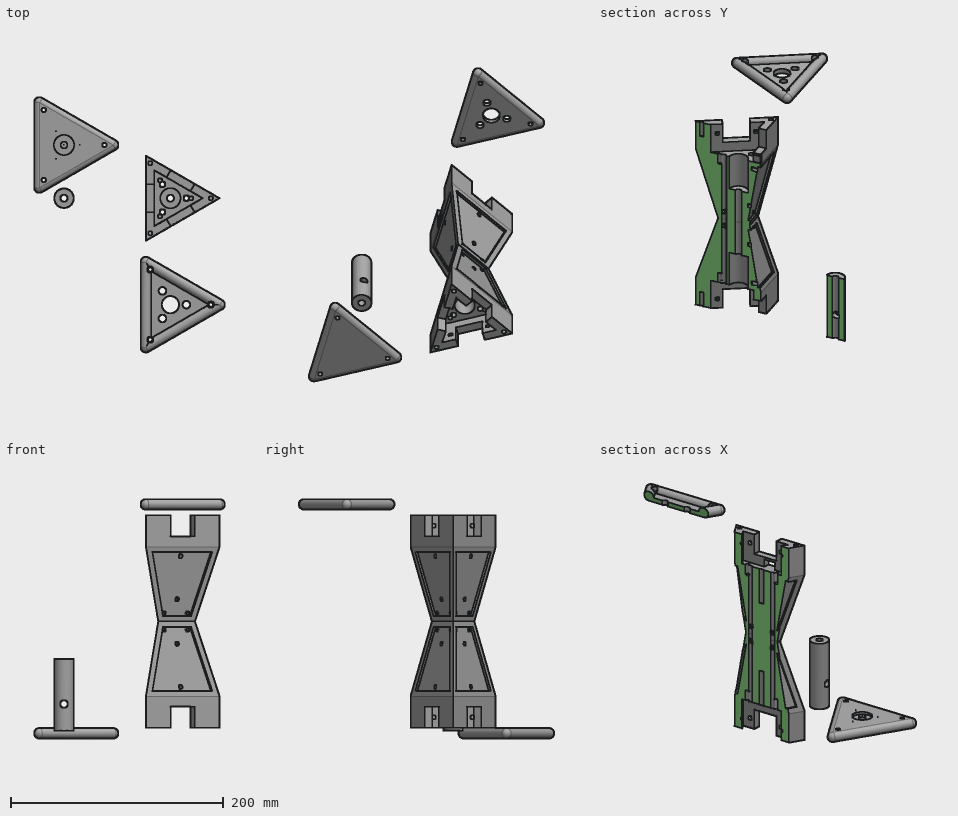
import cadquery as cq
import math

side = 80.04
side_radius = side / math.sqrt(3)
inradius = side_radius / 2
turns = (0, 120, 240)
half_corner = math.radians(30)
screw_radius = 38.0
screw_diameter = 4.0
channel_radius = 15.0
axial_bore = 6.4

tower_height = 200.0
straight_height = 30.0
waist_scale = 0.5
wall = 8.0
slot_width = 26.0
slot_depth = 20.0
screw_depth = 15.0
channel_diameter = 5.0
socket_diameter = 19.0

panel_end_margin = 5.0
panel_side_margin = 6.0
panel_depth = 2.3
panel_pin_diameter = 4.0
panel_pins = ((9.0, 6.0), (49.5, 3.0))
wire_hole_diameter = 3.0
wire_hole_drop = 62.5
wire_hole_depth = 6.0

pilot_diameter = 4.0
pilot_depth = 10.0
pilot_radius = 19.5
drill_point_angle = 118.0

wall_hole_diameter = 4.0
wall_hole_offset = 8.0
wall_hole_depth = 4.0

window_width = 12.4
window_height = 7.5
window_centre_y = 5.0
window_chamfer = 1.0

rod_diameter = 18.5
rod_length = 67.5
rod_cross_hole = 7.0
rod_cross_height = 25.0

rail_radius = 5.0
rail_diameter = 2 * rail_radius
cap_thickness = 5.0
cap_centre_hole = 16.0
cap_channel_hole = 7.0
cap_screw_head = 6.0
recess_depth = 2.5
peg_diameter = 6.4
pinhole_diameter = 0.002
pinhole_depth = 1.0

cap_gap = 5.0
cap_place = (0, -100, tower_height + cap_gap)
base_place = (-100, 50, -rail_diameter)
rod_place = (-100, 0, -recess_depth)

middle = tower_height / 2
shoulder = tower_height - straight_height
taper_height = shoulder - middle
taper_inset = inradius * (1 - waist_scale)
slant_height = math.hypot(taper_height, taper_inset)
slant_ratio = slant_height / taper_height
pocket_radius = side_radius - 2 * wall
socket_bottom = tower_height - (rod_length - recess_depth)


def triangle_prism(radius, height, z=0.0):
    """Triangular prism with one corner on the +X side."""
    return cq.Workplane("XY", origin=(0, 0, z)).polygon(3, 2 * radius).extrude(height)


def pin(diameter, height, radius=0.0, z=0.0):
    """Upright cylinder on the +X side, at a distance from the axis."""
    return cq.Workplane("XY", origin=(radius, 0, z)).circle(diameter / 2).extrude(height)


def three_copies(body):
    return [body.rotate((0, 0, 0), (0, 0, 1), turn) for turn in turns]


def cut_three(target, cutter):
    """Cut a feature at all three corners or faces."""
    for copy in three_copies(cutter):
        target = target.cut(copy)
    return target


def upper_blank():
    taper = (
        cq.Workplane("XY", origin=(0, 0, middle))
        .polygon(3, 2 * side_radius * waist_scale)
        .workplane(offset=taper_height)
        .polygon(3, 2 * side_radius)
        .loft(ruled=True)
    )
    return taper.union(triangle_prism(side_radius, straight_height, shoulder))


def end_slot():
    """Slot through the -X wall, open at the end of the tower."""
    slot = cq.Workplane("XY").box(2 * wall, slot_width, slot_depth, centered=(True, True, False))
    return slot.translate((wall / 2 - inradius, 0, tower_height - slot_depth))


def panel_plane():
    """Plane on the leaning -X face; its y runs up the slope from the shoulder."""
    return cq.Plane(
        origin=(-inradius, 0, shoulder),
        xDir=(0, -1, 0),
        normal=(-taper_height, 0, -taper_inset),
    )


def panel_recess():
    narrowing = side / 2 * (1 - waist_scale) / slant_height
    side_margin = panel_side_margin * math.hypot(1, narrowing)
    top = -panel_end_margin
    bottom = panel_end_margin - slant_height
    half_top = side / 2 + narrowing * top - side_margin
    half_bottom = side / 2 + narrowing * bottom - side_margin
    outline = [(-half_top, top), (half_top, top), (half_bottom, bottom), (-half_bottom, bottom)]
    return cq.Workplane(panel_plane()).polyline(outline).close().extrude(-panel_depth)


def panel_hole(across, drop, diameter, depth):
    """Hole square to the leaning face, with its depth below the recess floor."""
    return (
        cq.Workplane(panel_plane())
        .center(across, -drop * slant_ratio)
        .circle(diameter / 2)
        .extrude(-panel_depth - depth)
    )


def panel_holes():
    holes = [panel_hole(0, drop, panel_pin_diameter, depth) for drop, depth in panel_pins]
    across = channel_radius * math.cos(half_corner)
    for place in (-across, across):
        holes.append(panel_hole(place, wire_hole_drop, wire_hole_diameter, wire_hole_depth))
    return holes


def pilot_hole():
    """Drilled hole with a conical bottom in the pocket floor."""
    radius = pilot_diameter / 2
    tip = radius / math.tan(math.radians(drill_point_angle / 2))
    return (
        cq.Workplane("XZ", origin=(pilot_radius, 0, shoulder))
        .polyline([(0, 0), (radius, 0), (radius, -pilot_depth), (0, -pilot_depth - tip)])
        .close()
        .revolve(360, (0, 0), (0, 1))
    )


def wall_hole(hand):
    """Blind hole in the pocket wall on one hand (+1 or -1) of the +X corner."""
    start = cq.Vector(
        pocket_radius - wall_hole_offset * math.cos(half_corner),
        hand * wall_hole_offset * math.sin(half_corner),
        tower_height - slot_depth / 2,
    )
    into_wall = cq.Vector(math.sin(half_corner), hand * math.cos(half_corner), 0)
    hole = cq.Solid.makeCylinder(wall_hole_diameter / 2, wall_hole_depth, start, into_wall)
    return cq.Workplane(hole)


def window():
    """Opening through the -X wall into the upper pocket, chamfered on the outside."""
    opening = cq.Workplane("XY").box(
        2 * wall, window_width, window_height, centered=(True, True, False)
    ).translate((wall / 2 - inradius, window_centre_y, shoulder))
    funnel_growth = 4 * window_chamfer
    funnel = (
        cq.Workplane("YZ", origin=(-inradius - window_chamfer, window_centre_y, shoulder + window_height / 2))
        .rect(window_width + funnel_growth, window_height + funnel_growth)
        .workplane(offset=2 * window_chamfer)
        .rect(window_width, window_height)
        .loft(ruled=True)
    )
    return opening.union(funnel)


def build_tower():
    upper = upper_blank()
    upper = upper.cut(triangle_prism(pocket_radius, straight_height, shoulder))
    upper = upper.cut(pin(socket_diameter, tower_height - socket_bottom, z=socket_bottom))
    upper = upper.cut(pin(axial_bore, taper_height, z=middle))
    features = [
        end_slot(),
        panel_recess(),
        *panel_holes(),
        pilot_hole(),
        wall_hole(1),
        wall_hole(-1),
        pin(screw_diameter, screw_depth, screw_radius, tower_height - screw_depth),
        pin(channel_diameter, taper_height, channel_radius, middle),
    ]
    for feature in features:
        upper = cut_three(upper, feature)
    lower = upper.mirror("XY", (0, 0, middle))
    return upper.union(lower).cut(window())


def plate_blank(thickness):
    """Triangular plate on z = 0, edged by three round rails with ball corners."""
    plate = triangle_prism(side_radius, thickness)
    rail = cq.Workplane("XZ", origin=(-inradius, side / 2, rail_radius)).circle(rail_radius).extrude(side)
    ball = cq.Workplane("XY").sphere(rail_radius).translate((side_radius, 0, rail_radius))
    for piece in three_copies(rail) + three_copies(ball):
        plate = plate.union(piece)
    return plate


def build_cap():
    cap = plate_blank(cap_thickness)
    cap = cap.cut(pin(cap_centre_hole, cap_thickness))
    cap = cut_three(cap, pin(cap_channel_hole, cap_thickness, channel_radius))
    cap = cut_three(cap, pin(screw_diameter, cap_thickness, screw_radius))
    head_room = pin(cap_screw_head, rail_diameter - cap_thickness, screw_radius, cap_thickness)
    cap = cut_three(cap, head_room)
    return cap.translate(cap_place)


def build_base():
    base = plate_blank(rail_diameter)
    recess = pin(socket_diameter, recess_depth, z=rail_diameter - recess_depth)
    base = base.cut(recess.cut(pin(peg_diameter, rail_diameter)))
    base = cut_three(base, pin(screw_diameter, rail_diameter, screw_radius))
    pinhole_bottom = rail_diameter - pinhole_depth
    base = base.cut(pin(pinhole_diameter, pinhole_depth, z=pinhole_bottom))
    base = cut_three(base, pin(pinhole_diameter, pinhole_depth, channel_radius, pinhole_bottom))
    return base.translate(base_place)


def build_rod():
    rod = pin(rod_diameter, rod_length).cut(pin(axial_bore, rod_length))
    cross_hole = (
        cq.Workplane("XZ", origin=(0, 0, rod_cross_height))
        .circle(rod_cross_hole / 2)
        .extrude(rod_diameter / 2, both=True)
    )
    return rod.cut(cross_hole).translate(rod_place)


tower = build_tower()
cap = build_cap()
base = build_base()
rod = build_rod()
result = cq.Compound.makeCompound([tower.val(), cap.val(), base.val(), rod.val()])